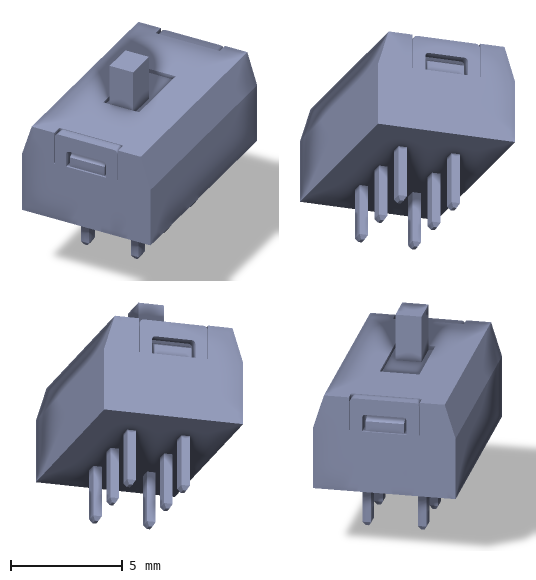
import cadquery as cq

body_width = 6.54
body_length = 10.2
base_height = 2.92
lid_height = 1.6
lid_side_inset = 0.5
lid_top = base_height + lid_height

notch_width = 3.25
notch_depth = 0.49
tab_clearance = 0.03
tab_width = notch_width - 2 * tab_clearance
tab_height = lid_height - tab_clearance
tab_corner_radius = 0.2

window_width = 2.04
window_height = 0.82
window_corner_radius = 0.17
hook_width = 1.76
hook_front_height = 0.47
hook_back_height = 0.68
hook_setback = 0.1

slot_width = 1.82
slot_length = 3.5
slot_depth = 0.2
lever_width = 1.2
lever_length = 1.51
lever_end_gap = 0.02
lever_height = 2.0

pin_pitch = 2.54
pin_columns = 2
pin_rows = 3
pin_width = 0.4
pin_breadth = 0.6
pin_length = 2.56
pin_tip_height = 0.2
pin_tip_inset = 0.12

end_y = -body_length / 2


def make_housing():
    """Base and sloped lid as one profile extruded along Y."""
    half_base = body_width / 2
    half_lid = half_base - lid_side_inset
    profile = [
        (-half_base, 0),
        (half_base, 0),
        (half_base, base_height),
        (half_lid, lid_top),
        (-half_lid, lid_top),
        (-half_base, base_height),
    ]
    return cq.Workplane("XZ").polyline(profile).close().extrude(body_length / 2, both=True)


def make_end_block(width, height):
    """Block on top of the base, as deep as the notch, at the -Y end."""
    return (
        cq.Workplane("XY", origin=(0, end_y, base_height))
        .box(width, notch_depth, height, centered=(True, False, False))
    )


def make_rounded_end_block(width, height, radius):
    """End block with its two upper edges rounded."""
    return make_end_block(width, height).edges("|Y and >Z").fillet(radius)


def make_hook():
    """Latch hook whose top rises from its front face to the back of the notch."""
    front_y = end_y + hook_setback
    back_y = end_y + notch_depth
    profile = [
        (front_y, base_height),
        (back_y, base_height),
        (back_y, base_height + hook_back_height),
        (front_y, base_height + hook_front_height),
    ]
    return cq.Workplane("YZ").polyline(profile).close().extrude(hook_width / 2, both=True)


def add_latches(body):
    """Cut the notch at each end and fill it with the windowed tab and its hook."""
    notch = make_end_block(notch_width, lid_height)
    tab = make_rounded_end_block(tab_width, tab_height, tab_corner_radius)
    window = make_rounded_end_block(window_width, window_height, window_corner_radius)
    latch = tab.cut(window).union(make_hook())
    for angle in (0, 180):
        turned_notch = notch.rotate((0, 0, 0), (0, 0, 1), angle)
        turned_latch = latch.rotate((0, 0, 0), (0, 0, 1), angle)
        body = body.cut(turned_notch).union(turned_latch)
    return body


def add_actuator(body):
    """Cut the slot in the lid and stand the lever near its -Y end."""
    floor_z = lid_top - slot_depth
    slot = (
        cq.Workplane("XY", origin=(0, 0, floor_z))
        .box(slot_width, slot_length, slot_depth, centered=(True, True, False))
    )
    lever_front_y = -slot_length / 2 + lever_end_gap
    lever = (
        cq.Workplane("XY", origin=(0, lever_front_y, floor_z))
        .box(lever_width, lever_length, slot_depth + lever_height, centered=(True, False, False))
    )
    return body.cut(slot).union(lever)


def make_pin():
    """Rectangular pin hanging below the base, tapered on all four sides at its tip."""
    shank_length = pin_length - pin_tip_height
    shank = cq.Workplane("XY").rect(pin_width, pin_breadth).extrude(-shank_length)
    tip = (
        cq.Workplane("XY", origin=(0, 0, -shank_length))
        .rect(pin_width, pin_breadth)
        .workplane(offset=-pin_tip_height)
        .rect(pin_width - 2 * pin_tip_inset, pin_breadth - 2 * pin_tip_inset)
        .loft(ruled=True)
    )
    return shank.union(tip)


def add_pins(body):
    """Place the pins on a grid centred under the base."""
    pin = make_pin()
    for column in range(pin_columns):
        pin_x = (column - (pin_columns - 1) / 2) * pin_pitch
        for row in range(pin_rows):
            pin_y = (row - (pin_rows - 1) / 2) * pin_pitch
            body = body.union(pin.translate((pin_x, pin_y, 0)))
    return body


result = add_pins(add_actuator(add_latches(make_housing())))